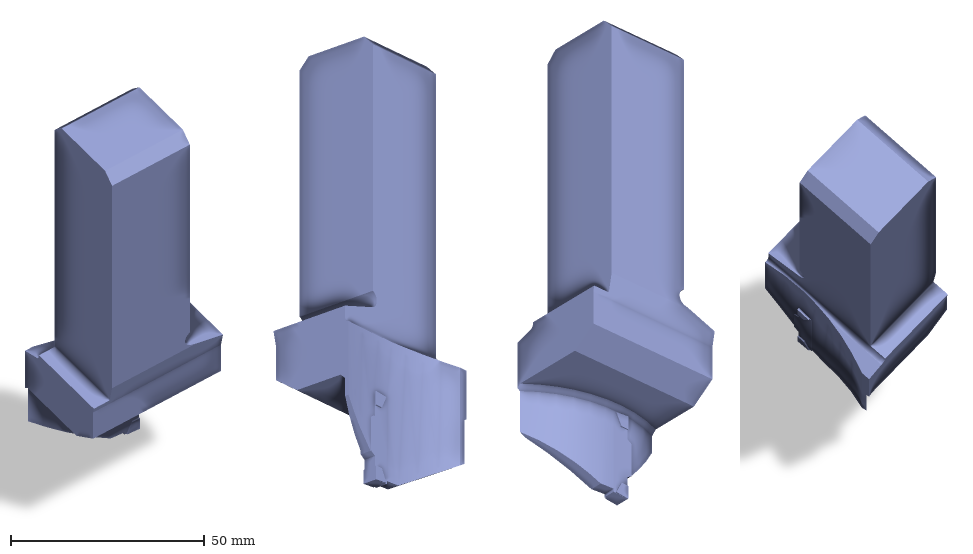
import cadquery as cq
import math

height = 126.8
shank = 25.0
top_chamfer = 3.0

head_left = -6.1
head_right = 23.6
head_front = -5.1
head_back = 36.0
head_bottom = 26.6
head_depth = head_back - head_front
flank_top = 48.5
flank_bottom = 41.3
corner_x = 16.4
corner_z = 31.6
shelf_low = 39.6
shelf_high = 41.1
shelf_fillet = 1.4
shelf_fillet_sag = shelf_fillet * (1 - math.cos(math.radians(45)))
ledge_z = 43.0
ledge_fillet = 0.4
ledge_fillet_sag = ledge_fillet * (1 - math.cos(math.radians(45)))
back_shelf_z = 45.8
relief_top = 53.8
relief_middle = 51.2
relief_bottom = 49.0
relief_y = 23.5
relief_end_y = 25.5

blade_front = -4.2
outer_radius = 71.0
outer_peak = (-0.4, 25.4)
inner_radius = 39.3
inner_peak = (2.98, 20.9)
blade_bottom = 1.3
front_edge_z = 12.8
bottom_front_y = 16.0
back_edge_z = 20.2
back_edge_bulge = (31.8, 14.2)
root_bottom = 25.2

insert_length = 25.1
insert_front = 20.2
insert_back = 24.9
waist_back = 26.4
waist_half = 4.8
waist_shoulder_half = 5.8
end_relief = 0.4
insert_left = -0.6
insert_right = inner_peak[0]
tip_overhang = 0.4
tip_length = 3.9
tip_front = 20.8
tip_inner_front = 22.6
insert_middle = insert_length / 2


def extrude_x(sketch, x_start, x_end):
    """Extrude a closed YZ outline from x_start to x_end."""
    return sketch.extrude(x_end - x_start).translate((x_start, 0, 0))


def cylinder(radius, peak):
    """Upright cylinder whose rightmost line passes through peak."""
    x, y = peak
    return cq.Workplane("XY").center(x - radius, y).circle(radius).extrude(height)


def make_shank_and_head():
    front_outline = (
        cq.Workplane("XZ")
        .moveTo(head_left, head_bottom)
        .lineTo(corner_x, head_bottom)
        .lineTo(head_right, corner_z)
        .lineTo(head_right, flank_bottom)
        .lineTo(shank, flank_top)
        .lineTo(shank, height - top_chamfer)
        .lineTo(shank - top_chamfer, height)
        .lineTo(top_chamfer, height)
        .lineTo(0, height - top_chamfer)
        .lineTo(0, shelf_high + shelf_fillet)
        .threePointArc(
            (-shelf_fillet_sag, shelf_high + shelf_fillet_sag),
            (-shelf_fillet, shelf_high),
        )
        .lineTo(head_left, shelf_low)
        .close()
        .extrude(-head_depth)
        .translate((0, head_front, 0))
    )
    side_outline = (
        cq.Workplane("YZ")
        .moveTo(head_front, head_bottom)
        .lineTo(head_front, ledge_z)
        .lineTo(-ledge_fillet, ledge_z)
        .threePointArc(
            (-ledge_fillet_sag, ledge_z + ledge_fillet_sag),
            (0, ledge_z + ledge_fillet),
        )
        .lineTo(0, height)
        .lineTo(shank, height)
        .lineTo(shank, relief_top)
        .threePointArc((relief_y, relief_middle), (relief_end_y, relief_bottom))
        .lineTo(head_back, back_shelf_z)
        .lineTo(head_back, head_bottom)
        .close()
    )
    return front_outline.intersect(extrude_x(side_outline, head_left, shank))


def make_blade():
    side_outline = (
        cq.Workplane("YZ")
        .moveTo(blade_front, head_bottom)
        .lineTo(blade_front, front_edge_z)
        .lineTo(bottom_front_y, blade_bottom)
        .lineTo(insert_back, blade_bottom)
        .lineTo(insert_back, insert_middle - waist_shoulder_half)
        .lineTo(waist_back, insert_middle - waist_half)
        .threePointArc(back_edge_bulge, (head_back, back_edge_z))
        .lineTo(head_back, head_bottom)
        .close()
    )
    slab = extrude_x(side_outline, head_left, inner_peak[0])
    return slab.intersect(cylinder(inner_radius, inner_peak))


def make_blade_root():
    """Conical flare that thickens the convex side of the blade up to the head."""
    flare = head_bottom - root_bottom
    x, y = inner_peak
    cone = cq.Solid.makeCone(
        inner_radius,
        inner_radius + flare,
        flare,
        cq.Vector(x - inner_radius, y, root_bottom),
    )
    head_column = cq.Workplane("XY").box(
        shank - head_left, head_depth, head_bottom, centered=False
    ).translate((head_left, head_front, 0))
    return head_column.intersect(cq.Workplane(cone))


def make_insert_tip():
    """Wider cutting tip at the lower end."""
    side_outline = cq.Workplane("YZ").polyline([
        (insert_back, 0),
        (insert_back, tip_length),
        (tip_inner_front, tip_length),
        (tip_front, end_relief),
    ]).close()
    return extrude_x(side_outline, insert_left - tip_overhang, insert_right + tip_overhang)


def make_insert():
    lower_half = extrude_x(
        cq.Workplane("YZ").polyline([
            (insert_back, 0),
            (insert_back, insert_middle - waist_shoulder_half),
            (waist_back, insert_middle - waist_half),
            (waist_back, insert_middle),
            (insert_front, insert_middle),
            (insert_front, end_relief),
        ]).close(),
        insert_left,
        insert_right,
    ).union(make_insert_tip())
    upper_half = lower_half.mirror("XY", (0, 0, insert_middle))
    return lower_half.union(upper_half)


insert = make_insert()
holder = (
    make_shank_and_head()
    .union(make_blade_root())
    .union(make_blade())
    .cut(cylinder(outer_radius, outer_peak))
    .cut(insert)
)
result = cq.Compound.makeCompound([*holder.solids().vals(), *insert.solids().vals()])